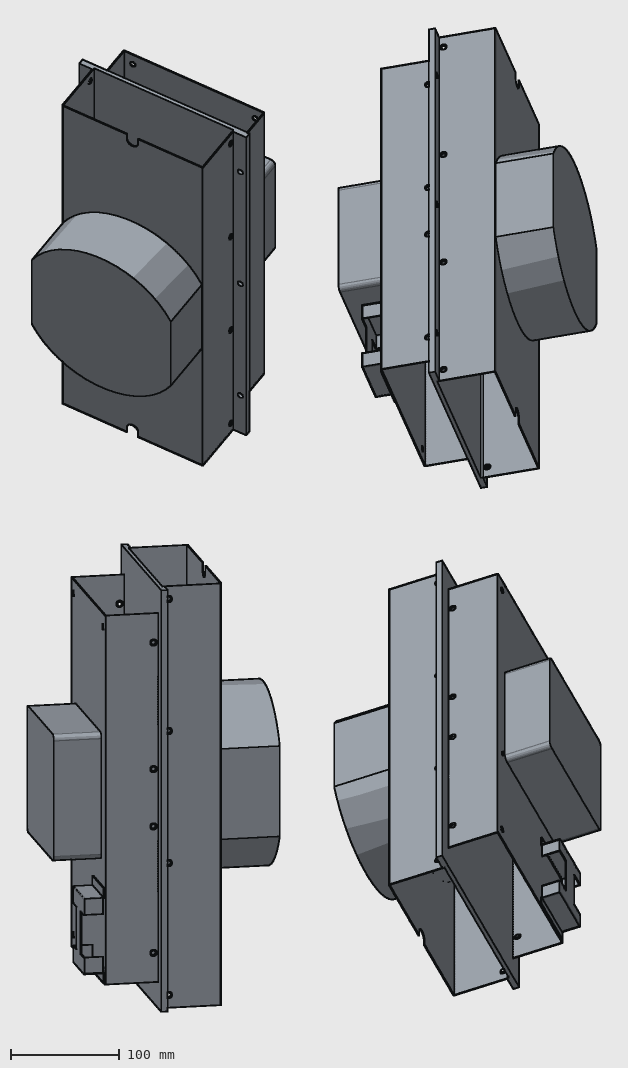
import cadquery as cq

eps = 0.5

sheet = 1.0
duct_width = 152.0
inner_width = duct_width - 2 * sheet
front_height = 400.0
rear_height = 350.0
flange_width = 180.0
flange_thickness = 6.0
plate_thickness = 3.0
front_duct_depth = 57.0
rear_duct_depth = 50.0
front_face = -plate_thickness - front_duct_depth

drum_radius = 86.5
drum_width = inner_width

box_size = 120.0
box_radius = 5.0
box_depth = 45.0

overall_depth = 209.5
drum_face = rear_duct_depth + box_depth - overall_depth

hole_diameter = 5.5
flange_hole_depth = 4.0
side_hole_diameter = 4.0
countersink_diameter = 6.5
flange_hole_x = 83.5
flange_hole_pitch = 150.0
front_side_hole_y = -10.0
front_side_hole_pitch = 125.0
rear_side_hole_y = 4.5
rear_side_hole_zs = (27.0, 147.0)
rear_panel_hole_x = 66.0
rear_panel_hole_z = 162.0

notch_width = 12.0
notch_depth = 12.5

cover_left = -72.0
cover_width = 48.0
cover_depth = 19.0
cover_height = 73.0
cover_z = -129.0
tab_length = 9.0
window_height = 40.5
window_reach = 14.5

stud_diameter = 3.5
stud_height = 1.5
stud_z = -59.5


def block(x_range, y_range, z_range):
    """Box between the given limits along each axis."""
    (x0, x1), (y0, y1), (z0, z1) = x_range, y_range, z_range
    return cq.Workplane("XY").box(x1 - x0, y1 - y0, z1 - z0, centered=False).translate((x0, y0, z0))


def slab(width, height, y_front, y_rear):
    """Box centred in X and Z between two Y planes."""
    return block((-width / 2, width / 2), (y_front, y_rear), (-height / 2, height / 2))


def rods_along_y(points, diameter, y_front, y_rear):
    """Cylinders along Y at the given (x, z) points."""
    plane = cq.Workplane("XZ", origin=(0, y_front, 0))
    return plane.pushPoints(points).circle(diameter / 2).extrude(-(y_rear - y_front))


def side_holes(y, heights):
    """Holes along X through both side walls, countersunk from outside through the sheet."""
    wall_x = duct_width / 2
    points = [(y, z) for z in heights]
    plane = cq.Workplane("YZ", origin=(-wall_x, 0, 0))
    holes = plane.pushPoints(points).circle(side_hole_diameter / 2).extrude(duct_width)
    for z in heights:
        for side in (-1, 1):
            cone = cq.Solid.makeCone(
                countersink_diameter / 2,
                side_hole_diameter / 2,
                sheet,
                pnt=cq.Vector(side * wall_x, y, z),
                dir=cq.Vector(-side, 0, 0),
            )
            holes = holes.union(cq.Workplane(cone))
    return holes


def mirrored(values):
    """Each value together with its negative."""
    return [sign * value for value in values for sign in (-1, 1)]


def make_flange():
    """Plate with a column of blind holes from the front along each side."""
    holes = [
        (x, row * flange_hole_pitch)
        for x in mirrored([flange_hole_x])
        for row in (-1, 0, 1)
    ]
    plate = slab(flange_width, front_height, -flange_thickness, 0)
    hole_bottom = flange_hole_depth - flange_thickness
    return plate.cut(rods_along_y(holes, hole_diameter, -flange_thickness, hole_bottom))


def make_end_notch():
    """Round-bottomed slot at the top edge of the front panel."""
    radius = notch_width / 2
    slot_end = front_height / 2 - notch_depth + radius
    y_front = front_face - eps
    y_rear = front_face + sheet + eps
    slot = block((-radius, radius), (y_front, y_rear), (slot_end, front_height / 2 + eps))
    return slot.union(rods_along_y([(0, slot_end)], notch_width, y_front, y_rear))


def make_front_duct():
    """Tube open at the top and bottom, with its rear sheet backed by the flange plate.

    Returns the solid tube and the shape to cut from it once it is joined to the flange.
    """
    duct = slab(duct_width, front_height, front_face, -plate_thickness)
    duct = duct.edges("|Z and <Y").fillet(sheet)
    notch = make_end_notch()
    cavity = slab(inner_width, front_height + 2 * eps, front_face + sheet, -plate_thickness - sheet)
    hole_zs = mirrored([front_side_hole_pitch / 2, front_side_hole_pitch * 1.5])
    holes = side_holes(front_side_hole_y, hole_zs)
    return duct, cavity.union(holes).union(notch).union(notch.mirror("XY"))


def make_rear_duct():
    """U-shaped channel whose open side is closed by the flange plate."""
    channel = slab(duct_width, rear_height, 0, rear_duct_depth)
    channel = channel.edges("|Z and >Y").fillet(sheet)
    channel = channel.cut(slab(inner_width, rear_height + 2 * eps, 0, rear_duct_depth - sheet))
    panel_holes = [
        (x, z) for x in mirrored([rear_panel_hole_x]) for z in mirrored([rear_panel_hole_z])
    ]
    channel = channel.cut(
        rods_along_y(panel_holes, hole_diameter, rear_duct_depth - sheet - eps, rear_duct_depth + eps)
    )
    return channel.cut(side_holes(rear_side_hole_y, mirrored(rear_side_hole_zs)))


def make_drum():
    """Solid disc trimmed flat on both sides."""
    disc = rods_along_y([(0, 0)], 2 * drum_radius, drum_face, front_face + eps)
    return disc.intersect(slab(drum_width, 2 * drum_radius, drum_face, front_face + eps))


def make_rear_box():
    """Square box with rounded corners, centred on the rear panel."""
    box = slab(box_size, box_size, rear_duct_depth - eps, rear_duct_depth + box_depth)
    return box.edges("|Y").fillet(box_radius)


def make_cover():
    """Box of thin sheet, open towards the duct, with a window in each side.

    The side walls stop one sheet thickness above the duct; the tabs carry the cover.
    """
    right = cover_left + cover_width
    base = rear_duct_depth - eps
    rear = rear_duct_depth + cover_depth
    bottom = cover_z - cover_height / 2
    top = cover_z + cover_height / 2
    cover = block((cover_left, right), (base, rear), (bottom, top))
    cover = cover.edges("|Y or >Y").fillet(sheet)
    tabs = block(
        (cover_left, right), (base, rear_duct_depth + sheet), (bottom - tab_length, top + tab_length)
    )
    cavity = block(
        (cover_left + sheet, right - sheet), (base, rear - sheet), (bottom + sheet, top - sheet)
    )
    side_gap = block(
        (cover_left - eps, right + eps), (base, rear_duct_depth + sheet), (bottom + sheet, top - sheet)
    )
    cover = cover.union(tabs).cut(cavity).cut(side_gap)
    window_z = (cover_z - window_height / 2, cover_z + window_height / 2)
    for x_range in (
        (cover_left - eps, cover_left + window_reach),
        (right - window_reach, right + eps),
    ):
        cover = cover.cut(block(x_range, (base, rear + eps), window_z))
    return cover


def make_stud():
    """Short stud in line with the rear panel holes."""
    return rods_along_y(
        [(rear_panel_hole_x, stud_z)], stud_diameter, rear_duct_depth - eps, rear_duct_depth + stud_height
    )


front_duct, front_duct_cuts = make_front_duct()
result = make_flange().union(front_duct).cut(front_duct_cuts)
for body in (make_rear_duct(), make_drum(), make_rear_box(), make_cover(), make_stud()):
    result = result.union(body)